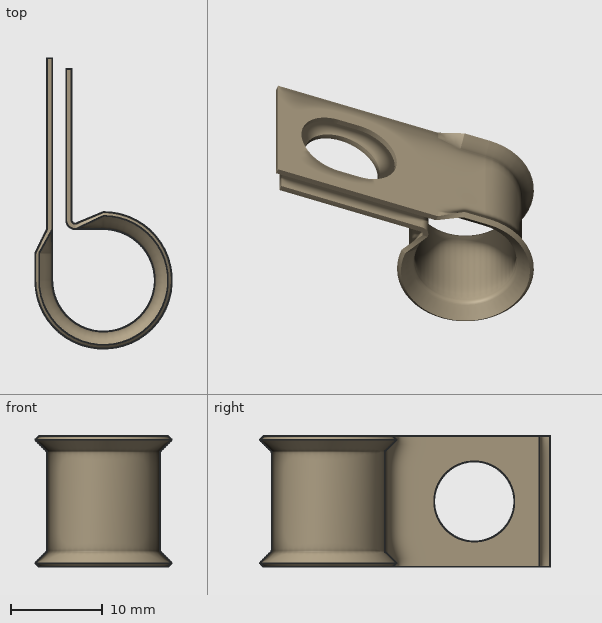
import cadquery as cq
import math

total_length = 31.67
height = 14.28
sheet = 0.6
inner_radius = 5.57
outer_radius = inner_radius + sheet

loop_angle = 270
rim_diameter = 14.92
rim_radius = rim_diameter / 2
flare_angle = math.radians(45)
flare_bend_radius = 0.2

long_leg_end = total_length - rim_radius
short_leg_end = long_leg_end - 1.17
gap = 1.5
leg_bend_radius = 0.4
leg_bend_outer = leg_bend_radius + sheet
short_leg_x = -inner_radius + gap
leg_bend_x = short_leg_x + leg_bend_outer
leg_bend_y = inner_radius + leg_bend_outer

straight_rim = 2.95

hole_diameter = 8.7
slot_length = 11.12
hole_y = 15.93

top = height / 2
sin_flare = math.sin(flare_angle)
cos_flare = math.cos(flare_angle)
sin_half = math.sin(flare_angle / 2)
cos_half = math.cos(flare_angle / 2)
bend_centre_r = outer_radius + flare_bend_radius
tip_drop = sheet * sin_flare
flare_outer_start_r = bend_centre_r - flare_bend_radius * cos_flare
flare_rise = (rim_radius - flare_outer_start_r) / math.tan(flare_angle)
rim_base = top - tip_drop - flare_rise - flare_bend_radius * sin_flare


def bend_point(radius, cos_turn, sin_turn):
    """Point on a flare bend arc, measured from its lower end."""
    return (bend_centre_r - radius * cos_turn, rim_base + radius * sin_turn)


def rim_section(plane):
    """Flared sheet section on a plane whose local axes are radius and height."""
    small = flare_bend_radius
    large = flare_bend_radius + sheet
    return (
        cq.Workplane(plane)
        .moveTo(outer_radius, rim_base)
        .threePointArc(bend_point(small, cos_half, sin_half), bend_point(small, cos_flare, sin_flare))
        .lineTo(rim_radius, top - tip_drop)
        .lineTo(rim_radius - sheet * cos_flare, top)
        .lineTo(*bend_point(large, cos_flare, sin_flare))
        .threePointArc(bend_point(large, cos_half, sin_half), (inner_radius, rim_base))
        .close()
    )


def flat_section(plane):
    """Unbent sheet section with the same number of edges as the rim section."""
    middle = (rim_base + top) / 2
    return (
        cq.Workplane(plane)
        .moveTo(outer_radius, rim_base)
        .lineTo(outer_radius, middle)
        .lineTo(outer_radius, top)
        .lineTo(inner_radius, top)
        .lineTo(inner_radius, middle)
        .lineTo(inner_radius, rim_base)
        .close()
    )


def transition(rim_plane, flat_plane):
    """Ruled blend from the flared section to the flat sheet."""
    wires = [rim_section(rim_plane).val(), flat_section(flat_plane).val()]
    return cq.Workplane(cq.Solid.makeLoft(wires, True))


def section_plane(origin, radial, normal):
    return cq.Plane(origin=origin, xDir=radial, normal=normal)


def long_leg_plane(y):
    return section_plane((0, y, 0), (-1, 0, 0), (0, 1, 0))


def short_leg_plane(x):
    return section_plane((x, 0, 0), (0, 1, 0), (1, 0, 0))


def block(x_min, x_max, y_min, y_max, block_height):
    return cq.Workplane("XY").box(
        x_max - x_min, y_max - y_min, block_height, centered=(False, False, True)
    ).translate((x_min, y_min, 0))


def upper_rim():
    loop = rim_section(long_leg_plane(0)).revolve(loop_angle, (0, 0, 0), (0, 1, 0))
    straight = rim_section(long_leg_plane(0)).extrude(straight_rim)
    long_blend = transition(long_leg_plane(straight_rim), long_leg_plane(inner_radius))
    short_blend = transition(short_leg_plane(0), short_leg_plane(leg_bend_x))
    return loop.union(straight).union(long_blend).union(short_blend)


def barrel():
    """Three-quarter loop with the flat stretches leading to both legs."""
    web_height = 2 * rim_base
    ring = cq.Workplane("XY").circle(outer_radius).circle(inner_radius).extrude(rim_base, both=True)
    open_quarter = block(-outer_radius, 0, 0, outer_radius, web_height)
    long_side = block(-outer_radius, -inner_radius, 0, inner_radius, web_height)
    short_side = block(leg_bend_x, 0, inner_radius, outer_radius, web_height)
    return ring.cut(open_quarter).union(long_side).union(short_side)


def opening(x, length):
    """Cutter for one leg; a length equal to the hole diameter gives a round hole."""
    cutter = cq.Workplane("YZ").center(hole_y, 0)
    if length > hole_diameter:
        cutter = cutter.slot2D(length, hole_diameter)
    else:
        cutter = cutter.circle(hole_diameter / 2)
    return cutter.extrude(sheet).translate((x, 0, 0))


def long_leg():
    leg = block(-outer_radius, -inner_radius, inner_radius, long_leg_end, height)
    return leg.cut(opening(-outer_radius, slot_length))


def short_leg():
    leg = block(short_leg_x, short_leg_x + sheet, leg_bend_y, short_leg_end, height)
    bend = (
        cq.Workplane("XY")
        .center(leg_bend_x, leg_bend_y)
        .circle(leg_bend_outer)
        .circle(leg_bend_radius)
        .extrude(top, both=True)
        .intersect(block(short_leg_x, leg_bend_x, inner_radius, leg_bend_y, height))
    )
    return leg.cut(opening(short_leg_x, hole_diameter)).union(bend)


rim = upper_rim()
result = barrel().union(rim).union(rim.mirror("XY")).union(long_leg()).union(short_leg())